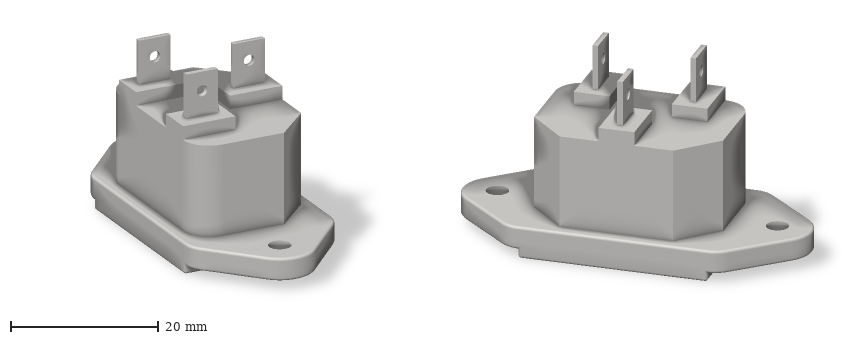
import cadquery as cq
import math

ear_x = 20.0
ear_radius = 5.0
corner_x = 13.5
corner_radius = 4.0
half_depth = 11.2
flange_bottom = 1.3
flange_top = 4.6
screw_hole_diameter = 3.2
edge_radius = 0.4

block_width = 2 * corner_x

housing_width = 2 * corner_x
housing_depth = 18.8
housing_top = 18.0
housing_chamfer = 5.4
housing_radius = 4.0

pad_width = 5.1
pad_depth = 8.0
pad_top = 20.0
terminal_spacing = 14.0
blade_thickness = 0.8
blade_width = 4.8
blade_top = 26.5
blade_hole_diameter = 1.6
blade_hole_z = 23.7

pad_y = (housing_depth - pad_depth) / 2
terminals = [(-terminal_spacing / 2, -pad_y), (terminal_spacing / 2, -pad_y), (0, pad_y)]


def make_box(width, depth, bottom, top, x=0, y=0):
    """Upright box centred on (x, y) between two heights."""
    return cq.Workplane("XY", origin=(x, y, bottom)).rect(width, depth).extrude(top - bottom)


def make_flange():
    """Plate whose straight sides are tangent to the ear and corner arcs."""
    corner_y = half_depth - corner_radius
    run = corner_x - ear_x
    center_distance = math.hypot(run, corner_y)
    normal = math.atan2(corner_y, run) - math.acos((ear_radius - corner_radius) / center_distance)
    ear_tangent_x = ear_x + ear_radius * math.cos(normal)
    ear_tangent_y = ear_radius * math.sin(normal)
    corner_tangent_x = corner_x + corner_radius * math.cos(normal)
    corner_tangent_y = corner_y + corner_radius * math.sin(normal)
    middle = (normal + math.pi / 2) / 2
    corner_mid_x = corner_x + corner_radius * math.cos(middle)
    corner_mid_y = corner_y + corner_radius * math.sin(middle)
    ear_end_x = ear_x + ear_radius

    plate = (
        cq.Workplane("XY", origin=(0, 0, flange_bottom))
        .moveTo(-corner_x, half_depth)
        .lineTo(corner_x, half_depth)
        .threePointArc((corner_mid_x, corner_mid_y), (corner_tangent_x, corner_tangent_y))
        .lineTo(ear_tangent_x, ear_tangent_y)
        .threePointArc((ear_end_x, 0), (ear_tangent_x, -ear_tangent_y))
        .lineTo(corner_tangent_x, -corner_tangent_y)
        .threePointArc((corner_mid_x, -corner_mid_y), (corner_x, -half_depth))
        .lineTo(-corner_x, -half_depth)
        .threePointArc((-corner_mid_x, -corner_mid_y), (-corner_tangent_x, -corner_tangent_y))
        .lineTo(-ear_tangent_x, -ear_tangent_y)
        .threePointArc((-ear_end_x, 0), (-ear_tangent_x, ear_tangent_y))
        .lineTo(-corner_tangent_x, corner_tangent_y)
        .threePointArc((-corner_mid_x, corner_mid_y), (-corner_x, half_depth))
        .close()
        .extrude(flange_top - flange_bottom)
    )
    return plate.faces("<Z or >Z").edges().fillet(edge_radius)


def make_front_block():
    """Block under the flange, reaching up to the middle of the flange thickness."""
    top = (flange_bottom + flange_top) / 2
    block = make_box(block_width, 2 * half_depth, 0, top)
    return block.edges("|Z").fillet(edge_radius).faces("<Z").edges().fillet(edge_radius)


def make_housing():
    """Housing with chamfered corners at +Y and rounded corners at -Y."""
    housing = make_box(housing_width, housing_depth, flange_top, housing_top)
    housing = housing.faces(">Y").edges("|Z").chamfer(housing_chamfer)
    return housing.faces("<Y").edges("|Z").fillet(housing_radius)


def make_terminal(x, y):
    """Pad with an upright blade pierced along X."""
    pad = make_box(pad_width, pad_depth, housing_top, pad_top, x, y)
    blade = make_box(blade_thickness, blade_width, pad_top, blade_top, x, y)
    hole = (
        cq.Workplane("YZ", origin=(x, y, blade_hole_z))
        .circle(blade_hole_diameter / 2)
        .extrude(blade_thickness, both=True)
    )
    return pad.union(blade.cut(hole))


screw_holes = (
    cq.Workplane("XY")
    .pushPoints([(-ear_x, 0), (ear_x, 0)])
    .circle(screw_hole_diameter / 2)
    .extrude(flange_top)
)

result = make_flange().cut(screw_holes).union(make_front_block()).union(make_housing())
for terminal_x, terminal_y in terminals:
    result = result.union(make_terminal(terminal_x, terminal_y))